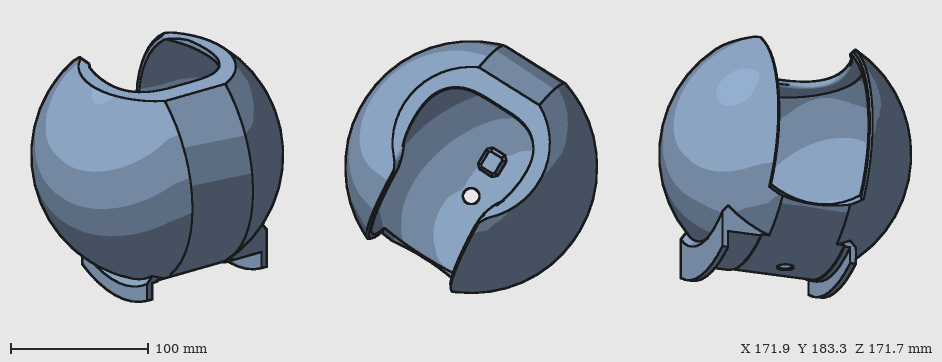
import cadquery as cq
import math

OUTER_R = 91.67
WALL = 5.0
INNER_R = OUTER_R - WALL
TOP_Z = 71.66
BAND_R = 87.85
BAND_HALF_Y = math.sqrt(OUTER_R**2 - BAND_R**2)

SLOT_HALF_Y = 35.1
SLOT_BEVEL = 1.5
SLOT_END_X = -65.2
SLOT_END_INNER_X = -62.1
SLOT_CORE_R = 50.0
FLARE_MIN_X = -60.0
FLARE_MAX_X = -25.0
FLARE_MIN_Z = 40.0
SLOT_FLARE_R = 6.3

ROOF_Z = 65.7
OPENING_EDGE_R = 2.6
OPENING_FRONT_X = 34.7
OPENING_MIN_X = -10.0
OPENING_SIDE = [
    (-42.0, 35.1),
    (-24.0, 42.4),
    (0.0, 45.4),
    (19.0, 41.4),
    (28.5, 33.4),
]

RAIL_R = 100.0
SEAT_R = 88.7
RAIL_T = 4.4
RAIL_MIN_Y = -41.0
RAIL_MAX_Y = 62.4
RECESS_HALF_Y = 32.2
BASE_MIN_X = -37.1
BASE_MAX_X = 50.1
BASE_CORE_R = 60.0

HOLE_D = 12.0
BOSS_X = 28.7
BOSS_LENGTH = 18.5
BOSS_WIDTH = 17.0
BOSS_HEIGHT = 4.0
BOSS_ROOT = 0.5
BOSS_CORNER = 3.0
BOSS_BEVEL = 2.6

EDGE_TOL = 0.1
REACH = 150.0


def span_box(x0, x1, y0, y1, z0, z1):
    """Box given by its limits along each axis."""
    return cq.Workplane("XY").box(x1 - x0, y1 - y0, z1 - z0, centered=False).translate((x0, y0, z0))


def revolve_about_y(points):
    """Full revolution about Y of an outline given as (radius, y) points."""
    return cq.Workplane("XY").polyline(points).close().revolve(360, (0, 0, 0), (0, 1, 0))


def edges_at_height(z, x_min, x_max):
    """Selector for the edges centred at one height, between two X limits."""
    return cq.selectors.BoxSelector(
        (x_min, -REACH / 2, z - EDGE_TOL),
        (x_max, REACH / 2, z + EDGE_TOL),
    )


def outer_body():
    """Solid sphere, flattened all round its X-Z equator to a cylindrical band."""
    ball = cq.Workplane("XY").sphere(OUTER_R)
    band_ring = revolve_about_y([
        (BAND_R, -BAND_HALF_Y),
        (REACH, -BAND_HALF_Y),
        (REACH, BAND_HALF_Y),
        (BAND_R, BAND_HALF_Y),
    ])
    return ball.cut(band_ring)


def base():
    """Curved seat under the sphere with a rail along each side; 45 degree slopes on the outside."""
    low_edge_y = RAIL_MIN_Y + RAIL_T
    high_edge_y = RAIL_MAX_Y - RAIL_T
    low_slope_r = math.sqrt(OUTER_R**2 - low_edge_y**2) + RAIL_T
    high_slope_r = math.sqrt(OUTER_R**2 - high_edge_y**2) + RAIL_T
    ring = revolve_about_y([
        (BASE_CORE_R, RAIL_MIN_Y + low_slope_r - BASE_CORE_R),
        (low_slope_r, RAIL_MIN_Y),
        (RAIL_R, RAIL_MIN_Y),
        (RAIL_R, low_edge_y),
        (SEAT_R, low_edge_y),
        (SEAT_R, -RECESS_HALF_Y),
        (BAND_R, -RECESS_HALF_Y),
        (BAND_R, RECESS_HALF_Y),
        (SEAT_R, RECESS_HALF_Y),
        (SEAT_R, high_edge_y),
        (RAIL_R, high_edge_y),
        (RAIL_R, RAIL_MAX_Y),
        (high_slope_r, RAIL_MAX_Y),
        (BASE_CORE_R, RAIL_MAX_Y - high_slope_r + BASE_CORE_R),
    ])
    return ring.intersect(span_box(BASE_MIN_X, BASE_MAX_X, -REACH, REACH, -REACH, 0))


def roof_rim():
    """Rim inside the top of the sphere, with the rounded opening through it."""
    slab = span_box(-REACH, REACH, -REACH, REACH, ROOF_Z, TOP_Z)
    disc = outer_body().intersect(slab)
    near_side = [(x, -y) for (x, y) in OPENING_SIDE]
    far_side = list(reversed(OPENING_SIDE))
    (mouth_x, mouth_y) = OPENING_SIDE[0]
    opening = (
        cq.Workplane("XY", origin=(0, 0, ROOF_Z))
        .moveTo(-REACH, -mouth_y)
        .lineTo(mouth_x, -mouth_y)
        .spline(near_side[1:] + [(OPENING_FRONT_X, 0)] + far_side, includeCurrent=True)
        .lineTo(-REACH, mouth_y)
        .close()
        .extrude(TOP_Z - ROOF_Z)
    )
    rim = disc.cut(opening)
    lower_edge = edges_at_height(ROOF_Z, OPENING_MIN_X, OPENING_FRONT_X + EDGE_TOL)
    return rim.edges(lower_edge).edges("not %CIRCLE").fillet(OPENING_EDGE_R)


def slot_wedge():
    """Ring with flat side walls that widen at 45 degrees near the outer sphere."""
    outer_half_y = SLOT_HALF_Y + SLOT_BEVEL
    wall_r = math.sqrt(OUTER_R**2 - outer_half_y**2) - SLOT_BEVEL
    far_half_y = SLOT_HALF_Y + REACH - wall_r
    return revolve_about_y([
        (SLOT_CORE_R, -SLOT_HALF_Y),
        (wall_r, -SLOT_HALF_Y),
        (REACH, -far_half_y),
        (REACH, far_half_y),
        (wall_r, SLOT_HALF_Y),
        (SLOT_CORE_R, SLOT_HALF_Y),
    ])


def slot_cutter():
    """Opening of the -X side; its lower end is a cone about X."""
    outer_end_r = math.sqrt(OUTER_R**2 - SLOT_END_X**2)
    inner_end_r = math.sqrt(INNER_R**2 - SLOT_END_INNER_X**2)
    end_slope = (outer_end_r - inner_end_r) / (SLOT_END_INNER_X - SLOT_END_X)
    tip_x = SLOT_END_X + outer_end_r / end_slope
    below_end = (
        cq.Workplane("XY")
        .polyline([
            (tip_x, 0),
            (tip_x - REACH, REACH * end_slope),
            (REACH, REACH * end_slope),
            (REACH, 0),
        ])
        .close()
        .revolve(360, (0, 0, 0), (1, 0, 0))
        .intersect(span_box(-2 * REACH, REACH, -2 * REACH, 2 * REACH, -2 * REACH, 0))
    )
    open_side = span_box(-REACH, FLARE_MAX_X, -REACH, REACH, -REACH, REACH)
    return slot_wedge().intersect(open_side).cut(below_end)


def flare_cutter():
    """Upper end of the slot with its walls rounded outward into the flat top."""
    upper_slot = span_box(FLARE_MIN_X, FLARE_MAX_X, -REACH, REACH, FLARE_MIN_Z, REACH)
    above_top = span_box(FLARE_MIN_X, FLARE_MAX_X, -REACH, REACH, TOP_Z, REACH)
    cutter = above_top.union(slot_wedge().intersect(upper_slot))
    edge = edges_at_height(TOP_Z, FLARE_MIN_X, FLARE_MAX_X)
    return cutter.edges(edge).edges("not |Y").fillet(SLOT_FLARE_R)


def boss():
    """Bevelled block on the cavity floor, square to the sphere's radius."""
    tilt = math.degrees(math.asin(BOSS_X / INNER_R))
    block = (
        cq.Workplane("XY")
        .rect(BOSS_LENGTH, BOSS_WIDTH)
        .extrude(BOSS_ROOT + BOSS_HEIGHT)
        .edges("|Z")
        .chamfer(BOSS_CORNER)
        .faces(">Z")
        .chamfer(BOSS_BEVEL)
    )
    return block.translate((0, 0, -INNER_R - BOSS_ROOT)).rotate((0, 0, 0), (0, 1, 0), -tilt)


body = outer_body().union(base())
body = body.cut(cq.Workplane("XY").sphere(INNER_R))
body = body.union(roof_rim()).union(boss())
body = body.cut(slot_cutter()).cut(flare_cutter())
body = body.cut(span_box(-REACH, REACH, -REACH, REACH, TOP_Z, REACH))
body = body.cut(cq.Workplane("XY").circle(HOLE_D / 2).extrude(-REACH))
result = cq.Workplane(body.solids().val())